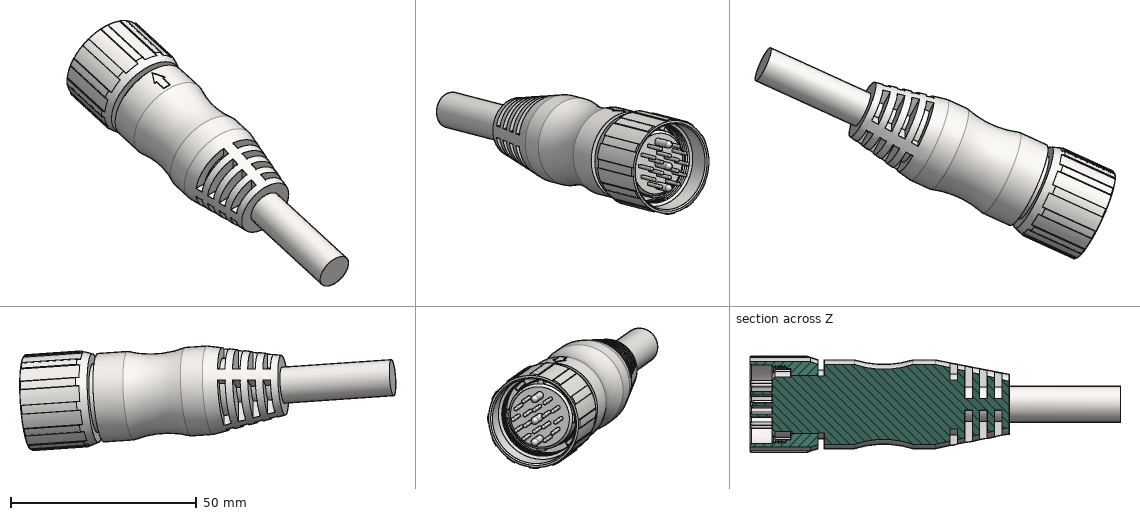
import cadquery as cq
import math


NUT_LENGTH = 18.4
NUT_RADIUS = 13.0
NUT_GROOVE_RADIUS = 12.7
NUT_BACK_RADIUS = 12.0
NUT_TAPER_START = 15.4
RIDGE_COUNT = 12
RIDGE_WIDTH = 2.4
NUT_EDGE_CHAMFER = 0.3

MOUTH_RADIUS = 12.1
MOUTH_CHAMFER_LENGTH = 0.4
BORE_RADIUS = 11.7
THREAD_START = 6.0
THREAD_PITCH = 0.85
THREAD_TURNS = 5
THREAD_MINOR_RADIUS = 10.9
SHOULDER_X = 11.0

SHOULDER_POCKET_COUNT = 4
SHOULDER_POCKET_ANGLE = 18.0
SHOULDER_POCKET_INNER_RADIUS = 9.6
SHOULDER_POCKET_OUTER_RADIUS = 10.6
SHOULDER_POCKET_DEPTH = 0.5

INSERT_FACE_X = 6.0
INSERT_RADIUS = 9.0
INSERT_CHAMFER = 0.7
NECK_RADIUS = 9.3

KEY_WIDTH = 1.6
KEY_TOP_RADIUS = 10.2
LUG_WIDTH = 2.4
LUG_RADIUS = 9.5
LUG_START = INSERT_FACE_X + INSERT_CHAMFER

PIN_TIP_X = 0.1
POWER_PIN_RADIUS = 1.0
SIGNAL_PIN_RADIUS = 0.5
OUTER_PIN_CIRCLE = 6.0
INNER_PIN_CIRCLE = 3.0
OUTER_PIN_COUNT = 12
INNER_PIN_COUNT = 6

GRIP_START = 20.0
GRIP_RADIUS = 12.0
WAIST_START = 28.2
WAIST_END = 44.0
WAIST_RADIUS = 10.8
TAIL_START = 50.0
TAIL_END = 70.1
TAIL_END_RADIUS = 8.1

SLOT_START = 54.1
SLOT_PITCH = 4.0
SLOT_COUNT = 4
SLOT_WIDTH = 2.0
WEB_WIDTH = 3.2
FIRST_SLOT_CORE_RADIUS = 8.4

ARROW_TIP_X = 20.9
ARROW_HEAD_END = 24.2
ARROW_END = 27.3
ARROW_HEAD_HALF_WIDTH = 1.8
ARROW_SHAFT_HALF_WIDTH = 1.1
ARROW_HEIGHT = 0.2

CABLE_RADIUS = 4.9
CABLE_END = 100.1


def cylinder(start, end, radius, y=0.0, z=0.0):
    """Cylinder along X from start to end."""
    return cq.Workplane("YZ", origin=(start, y, z)).circle(radius).extrude(end - start)


def revolve_about_x(outline):
    """Turn a closed XY outline, whose Y is the radius, about the X axis."""
    return outline.close().revolve(360, (0, 0, 0), (1, 0, 0))


def around_x(shape, angle):
    return shape.rotate((0, 0, 0), (1, 0, 0), angle)


def nut_shell():
    """Turned nut: tapered outside, thread rings in the bore, and a shoulder around the neck."""
    outline = (
        cq.Workplane("XY")
        .moveTo(NUT_LENGTH, NECK_RADIUS)
        .lineTo(NUT_LENGTH, NUT_BACK_RADIUS)
        .lineTo(NUT_TAPER_START, NUT_RADIUS)
        .lineTo(NUT_EDGE_CHAMFER, NUT_RADIUS)
        .lineTo(0, NUT_RADIUS - NUT_EDGE_CHAMFER)
        .lineTo(0, MOUTH_RADIUS)
        .lineTo(MOUTH_CHAMFER_LENGTH, BORE_RADIUS)
    )
    for turn in range(THREAD_TURNS):
        turn_start = THREAD_START + turn * THREAD_PITCH
        outline = outline.lineTo(turn_start, BORE_RADIUS)
        outline = outline.lineTo(turn_start + THREAD_PITCH / 2, THREAD_MINOR_RADIUS)
    outline = outline.lineTo(SHOULDER_X, THREAD_MINOR_RADIUS).lineTo(SHOULDER_X, NECK_RADIUS)
    return revolve_about_x(outline)


def nut_grooves():
    """Shallow grooves along the nut that leave the narrow grip ridges standing."""
    grooves = (
        cq.Workplane("YZ").circle(NUT_RADIUS + 1).circle(NUT_GROOVE_RADIUS).extrude(NUT_LENGTH)
    )
    ridge = cq.Workplane("XY").box(
        NUT_LENGTH, RIDGE_WIDTH, NUT_RADIUS + 2, centered=(False, True, False)
    )
    for i in range(RIDGE_COUNT):
        grooves = grooves.cut(around_x(ridge, i * 360 / RIDGE_COUNT))
    return grooves


def shoulder_pocket():
    """Ring sector sunk into the shoulder, centred on +Y."""
    half_angle = math.radians(SHOULDER_POCKET_ANGLE / 2)

    def at(radius, angle):
        return (radius * math.cos(angle), radius * math.sin(angle))

    return (
        cq.Workplane("YZ", origin=(SHOULDER_X, 0, 0))
        .moveTo(*at(SHOULDER_POCKET_INNER_RADIUS, -half_angle))
        .lineTo(*at(SHOULDER_POCKET_OUTER_RADIUS, -half_angle))
        .threePointArc(at(SHOULDER_POCKET_OUTER_RADIUS, 0), at(SHOULDER_POCKET_OUTER_RADIUS, half_angle))
        .lineTo(*at(SHOULDER_POCKET_INNER_RADIUS, half_angle))
        .threePointArc(
            at(SHOULDER_POCKET_INNER_RADIUS, 0), at(SHOULDER_POCKET_INNER_RADIUS, -half_angle)
        )
        .close()
        .extrude(SHOULDER_POCKET_DEPTH)
    )


def make_nut():
    nut = nut_shell().cut(nut_grooves())
    pocket_spacing = 360 / SHOULDER_POCKET_COUNT
    for i in range(SHOULDER_POCKET_COUNT):
        nut = nut.cut(around_x(shoulder_pocket(), (i + 0.5) * pocket_spacing))
    return nut


def plug_core():
    """Insert, neck, grip and cable turned as one piece."""
    return revolve_about_x(
        cq.Workplane("XY")
        .moveTo(INSERT_FACE_X, 0)
        .lineTo(INSERT_FACE_X, INSERT_RADIUS - INSERT_CHAMFER)
        .lineTo(INSERT_FACE_X + INSERT_CHAMFER, INSERT_RADIUS)
        .lineTo(SHOULDER_X, INSERT_RADIUS)
        .lineTo(SHOULDER_X, NECK_RADIUS)
        .lineTo(GRIP_START, NECK_RADIUS)
        .lineTo(GRIP_START, GRIP_RADIUS)
        .lineTo(WAIST_START, GRIP_RADIUS)
        .threePointArc(((WAIST_START + WAIST_END) / 2, WAIST_RADIUS), (WAIST_END, GRIP_RADIUS))
        .lineTo(TAIL_START, GRIP_RADIUS)
        .lineTo(TAIL_END, TAIL_END_RADIUS)
        .lineTo(TAIL_END, CABLE_RADIUS)
        .lineTo(CABLE_END, CABLE_RADIUS)
        .lineTo(CABLE_END, 0)
    )


def insert_key():
    """Round-topped coding key on the top of the insert."""
    half_width = KEY_WIDTH / 2
    return (
        cq.Workplane("YZ", origin=(LUG_START, 0, 0))
        .moveTo(-half_width, 0)
        .lineTo(half_width, 0)
        .lineTo(half_width, KEY_TOP_RADIUS - half_width)
        .threePointArc((0, KEY_TOP_RADIUS), (-half_width, KEY_TOP_RADIUS - half_width))
        .close()
        .extrude(SHOULDER_X - LUG_START)
    )


def insert_lugs():
    """Low lugs on both sides and the bottom of the insert."""
    bars = cq.Workplane("XY").box(
        SHOULDER_X - LUG_START, 2 * LUG_RADIUS, LUG_WIDTH, centered=(False, True, True)
    )
    bars = bars.union(
        cq.Workplane("XY")
        .box(SHOULDER_X - LUG_START, LUG_WIDTH, LUG_RADIUS, centered=(False, True, False))
        .translate((0, 0, -LUG_RADIUS))
    )
    return bars.translate((LUG_START, 0, 0)).intersect(
        cylinder(LUG_START, SHOULDER_X, LUG_RADIUS)
    )


def contact_pin(radius, circle_radius, angle):
    """Round-tipped pin rooted in the face of the insert."""
    y = circle_radius * math.cos(math.radians(angle))
    z = circle_radius * math.sin(math.radians(angle))
    tip_centre = PIN_TIP_X + radius
    pin = (
        cq.Workplane("XY")
        .moveTo(PIN_TIP_X, 0)
        .radiusArc((tip_centre, radius), radius)
        .lineTo(INSERT_FACE_X, radius)
        .lineTo(INSERT_FACE_X, 0)
    )
    return revolve_about_x(pin).translate((0, y, z))


def contact_pins():
    """Three power pins on the vertical centre line, signal pins on two circles."""
    pins = [contact_pin(POWER_PIN_RADIUS, 0, 0)]
    for i in range(OUTER_PIN_COUNT):
        angle = i * 360 / OUTER_PIN_COUNT
        radius = POWER_PIN_RADIUS if angle in (90, 270) else SIGNAL_PIN_RADIUS
        pins.append(contact_pin(radius, OUTER_PIN_CIRCLE, angle))
    for i in range(INNER_PIN_COUNT):
        angle = 90 + i * 360 / INNER_PIN_COUNT
        pins.append(contact_pin(SIGNAL_PIN_RADIUS, INNER_PIN_CIRCLE, angle))
    return pins


def strain_relief_slots():
    """Rows of four quadrant slots around the tail; only the first row stops short of the cable."""
    slots = cq.Workplane("XY")
    for i in range(SLOT_COUNT):
        start = SLOT_START + i * SLOT_PITCH
        core_radius = FIRST_SLOT_CORE_RADIUS if i == 0 else CABLE_RADIUS
        ring = (
            cq.Workplane("YZ", origin=(start, 0, 0))
            .circle(GRIP_RADIUS)
            .circle(core_radius)
            .extrude(SLOT_WIDTH)
        )
        web = cq.Workplane("XY").box(
            SLOT_WIDTH, 2 * GRIP_RADIUS, WEB_WIDTH, centered=(False, True, True)
        )
        web = web.translate((start, 0, 0))
        slots = slots.add(ring.cut(web).cut(around_x(web, 90)))
    return slots.combine()


def direction_arrow():
    """Raised arrow on top of the grip, pointing at the nut."""
    prism = (
        cq.Workplane("XY")
        .moveTo(ARROW_TIP_X, 0)
        .lineTo(ARROW_HEAD_END, ARROW_HEAD_HALF_WIDTH)
        .lineTo(ARROW_HEAD_END, ARROW_SHAFT_HALF_WIDTH)
        .lineTo(ARROW_END, ARROW_SHAFT_HALF_WIDTH)
        .lineTo(ARROW_END, -ARROW_SHAFT_HALF_WIDTH)
        .lineTo(ARROW_HEAD_END, -ARROW_SHAFT_HALF_WIDTH)
        .lineTo(ARROW_HEAD_END, -ARROW_HEAD_HALF_WIDTH)
        .close()
        .extrude(GRIP_RADIUS + ARROW_HEIGHT)
    )
    return prism.intersect(cylinder(GRIP_START, WAIST_START, GRIP_RADIUS + ARROW_HEIGHT))


def make_plug():
    plug = plug_core().cut(strain_relief_slots())
    plug = plug.union(insert_key()).union(insert_lugs()).union(direction_arrow())
    for pin in contact_pins():
        plug = plug.union(pin)
    return plug


coupling_nut = make_nut()
plug = make_plug()

result = cq.Compound.makeCompound([coupling_nut.val(), plug.val()])